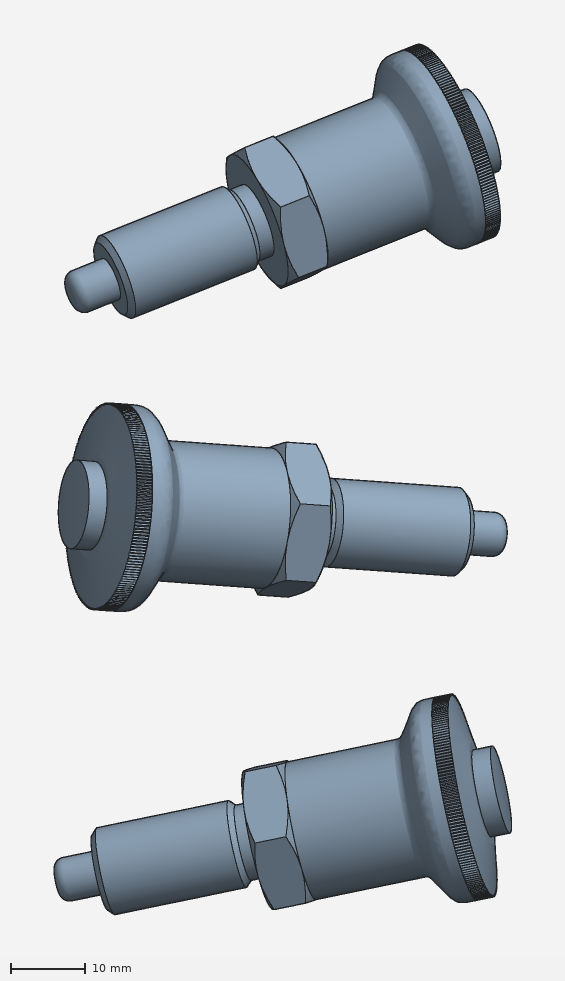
import cadquery as cq
import math


pin_diameter = 6.0
pin_projection = 6.0
pin_tip_radius = 1.5
shank_diameter = 12.0
shank_length = 22.0
shank_chamfer = 0.8
neck_length = 2.1
hex_across_flats = 19.0
hex_height = 6.0
hex_chamfer_angle = 30

sleeve_diameter = hex_across_flats
flare_start = 21.8
flare_end = 24.8
flare_root_radius = 1.0
flare_rim_radius = 2.05
head_diameter = 28.0
knurl_start = 27.5
knurl_end = 29.7
knurl_depth = 0.215
knurl_teeth = 200
cap_end = 31.1
cap_flat_diameter = 14.0
button_diameter = shank_diameter
button_edge = 33.7
button_end = 33.95

Y_AXIS = ((0, 0), (0, 1))


def plane_across_axis(y):
    """Plane square to the Y axis, facing +Y, with its local x along X."""
    return cq.Plane(origin=(0, y, 0), xDir=(1, 0, 0), normal=(0, 1, 0))


def circle_edges_at(y):
    """Box selector for the edges lying in the plane at y."""
    tolerance = 0.005
    return cq.selectors.BoxSelector(
        (-head_diameter, y - tolerance, -head_diameter),
        (head_diameter, y + tolerance, head_diameter),
        boundingbox=True,
    )


def make_shank_and_pin():
    shank_radius = shank_diameter / 2
    pin_radius = pin_diameter / 2
    neck_radius = shank_radius - shank_chamfer
    pin_tip = -shank_length - pin_projection
    turned = (
        cq.Workplane("XY")
        .moveTo(0, 0)
        .lineTo(neck_radius, 0)
        .lineTo(neck_radius, -neck_length)
        .lineTo(shank_radius, -neck_length - shank_chamfer)
        .lineTo(shank_radius, -shank_length + shank_chamfer)
        .lineTo(neck_radius, -shank_length)
        .lineTo(pin_radius, -shank_length)
        .lineTo(pin_radius, pin_tip)
        .lineTo(0, pin_tip)
        .close()
        .revolve(360, *Y_AXIS)
    )
    return turned.edges(circle_edges_at(pin_tip)).fillet(pin_tip_radius)


def make_hexagon():
    """Hexagon with corners on the X axis, both ends chamfered by a cone."""
    flat_radius = hex_across_flats / 2
    corner_radius = flat_radius / math.cos(math.radians(30))
    chamfer_height = (corner_radius - flat_radius) * math.tan(math.radians(hex_chamfer_angle))
    prism = cq.Workplane(plane_across_axis(0)).polygon(6, 2 * corner_radius).extrude(hex_height)
    chamfer_envelope = (
        cq.Workplane("XY")
        .moveTo(0, 0)
        .lineTo(flat_radius, 0)
        .lineTo(corner_radius, chamfer_height)
        .lineTo(corner_radius, hex_height - chamfer_height)
        .lineTo(flat_radius, hex_height)
        .lineTo(0, hex_height)
        .close()
        .revolve(360, *Y_AXIS)
    )
    return prism.intersect(chamfer_envelope)


def make_plunger_body():
    return make_hexagon().union(make_shank_and_pin())


def make_knurl():
    """Disc with straight V teeth along the axis, one root lying on the +X side."""
    crest_radius = head_diameter / 2
    root_radius = crest_radius - knurl_depth
    half_pitch = math.pi / knurl_teeth
    outline = []
    for i in range(2 * knurl_teeth):
        radius = root_radius if i % 2 == 0 else crest_radius
        outline.append((radius * math.cos(i * half_pitch), radius * math.sin(i * half_pitch)))
    return (
        cq.Workplane(plane_across_axis(knurl_start))
        .polyline(outline)
        .close()
        .extrude(knurl_end - knurl_start)
    )


def make_flared_sleeve():
    sleeve_radius = sleeve_diameter / 2
    head_radius = head_diameter / 2
    sleeve = (
        cq.Workplane("XY")
        .moveTo(0, hex_height)
        .lineTo(sleeve_radius, hex_height)
        .lineTo(sleeve_radius, flare_start)
        .lineTo(head_radius, flare_end)
        .lineTo(head_radius, knurl_start)
        .lineTo(0, knurl_start)
        .close()
        .revolve(360, *Y_AXIS)
    )
    sleeve = sleeve.edges(circle_edges_at(flare_start)).fillet(flare_root_radius)
    return sleeve.edges(circle_edges_at(flare_end)).fillet(flare_rim_radius)


def make_cap_and_button():
    """Shallow conical cap carrying a button with a slightly domed end."""
    button_radius = button_diameter / 2
    dome_height = button_end - button_edge
    dome_radius = (button_radius**2 + dome_height**2) / (2 * dome_height)
    mid_angle = math.asin(button_radius / dome_radius) / 2
    dome_mid = (
        dome_radius * math.sin(mid_angle),
        button_end - dome_radius * (1 - math.cos(mid_angle)),
    )
    return (
        cq.Workplane("XY")
        .moveTo(0, knurl_end)
        .lineTo(head_diameter / 2 - knurl_depth, knurl_end)
        .lineTo(cap_flat_diameter / 2, cap_end)
        .lineTo(button_radius, cap_end)
        .lineTo(button_radius, button_edge)
        .threePointArc(dome_mid, (0, button_end))
        .close()
        .revolve(360, *Y_AXIS)
    )


def make_knob():
    return make_flared_sleeve().union(make_knurl()).union(make_cap_and_button())


plunger_body = make_plunger_body()
knob = make_knob()

result = cq.Compound.makeCompound([plunger_body.val(), knob.val()])